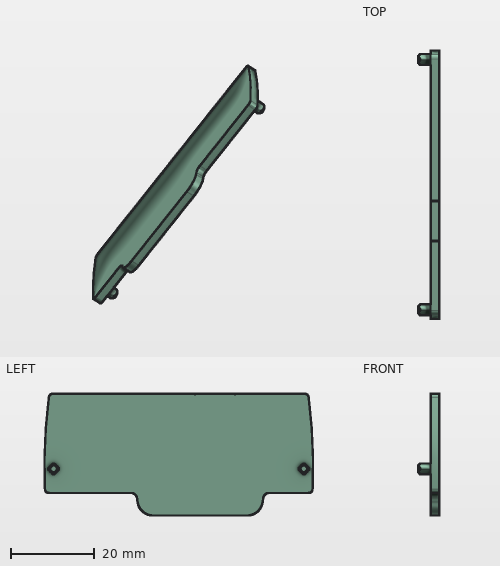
import cadquery as cq
import math

width = 64.14
height = 29.1
thickness = 2.1
shelf_z = 5.4
side_radius = 130.0
side_crown_z = 11.7
top_corner_radius = 1.0
lower_corner_radius = 1.0

groove_width = 0.2
groove_depth = 0.12
groove_center_y = -8.65
groove_spacing = 9.5

tab_center_y = -5.1
tab_top_width = 30.5
tab_draft = 8.0
tab_tip_radius = 3.8
tab_root_radius = 1.4

pin_length = 3.0
pin_spacing = 59.7
pin_z = 11.17
pin_side = 2.0
pin_edge_radius = 0.2
pin_tip_diameter = 1.6


def side_half_width(z):
    """Half width of the plate where its bowed side crosses height z."""
    rise = z - side_crown_z
    return width / 2 - side_radius + math.sqrt(side_radius**2 - rise**2)


def make_body():
    """Plate with bowed sides and rounded corners."""
    top_half = side_half_width(height)
    bottom_half = side_half_width(shelf_z)
    body = (
        cq.Workplane("YZ")
        .moveTo(-bottom_half, shelf_z)
        .lineTo(bottom_half, shelf_z)
        .threePointArc((width / 2, side_crown_z), (top_half, height))
        .lineTo(-top_half, height)
        .threePointArc((-width / 2, side_crown_z), (-bottom_half, shelf_z))
        .close()
        .extrude(thickness)
    )
    body = body.edges("|X and >Z").fillet(top_corner_radius)
    return body.edges("|X and <Z").fillet(lower_corner_radius)


def add_tab(body):
    """Tapered tab under the plate, with rounded tips and filleted roots."""
    top_half = tab_top_width / 2
    bottom_half = top_half - shelf_z * math.tan(math.radians(tab_draft))
    tab = (
        cq.Workplane("YZ", origin=(0, tab_center_y, 0))
        .polyline([(-bottom_half, 0), (bottom_half, 0), (top_half, shelf_z), (-top_half, shelf_z)])
        .close()
        .extrude(thickness)
        .edges("|X and <Z")
        .fillet(tab_tip_radius)
    )
    joined = body.union(tab)
    for side in (-1, 1):
        root = (thickness / 2, tab_center_y + side * top_half, shelf_z)
        joined = joined.edges(cq.selectors.NearestToPointSelector(root)).fillet(tab_root_radius)
    return joined


def make_groove(y):
    """V-shaped cutter that runs across the top edge at y."""
    half = groove_width / 2
    return (
        cq.Workplane("YZ", origin=(0, y, height))
        .polyline([(-half, 0), (half, 0), (0, -groove_depth)])
        .close()
        .extrude(thickness)
    )


def make_pin(y):
    """Round-edged square pin standing on its corner, with a conical chamfer at the tip."""
    base = cq.Workplane("YZ", origin=(0, y, pin_z))
    square_pin = (
        base.transformed(rotate=(0, 0, 45))
        .rect(pin_side, pin_side)
        .extrude(-pin_length)
        .edges("|X")
        .fillet(pin_edge_radius)
    )
    corner_radius = pin_side / math.sqrt(2)
    tip_cone = (
        base.circle(corner_radius)
        .extrude(-pin_length)
        .faces("<X")
        .chamfer(corner_radius - pin_tip_diameter / 2)
    )
    return square_pin.intersect(tip_cone)


result = add_tab(make_body())
for side in (-1, 1):
    result = result.cut(make_groove(groove_center_y + side * groove_spacing / 2))
    result = result.union(make_pin(side * pin_spacing / 2))